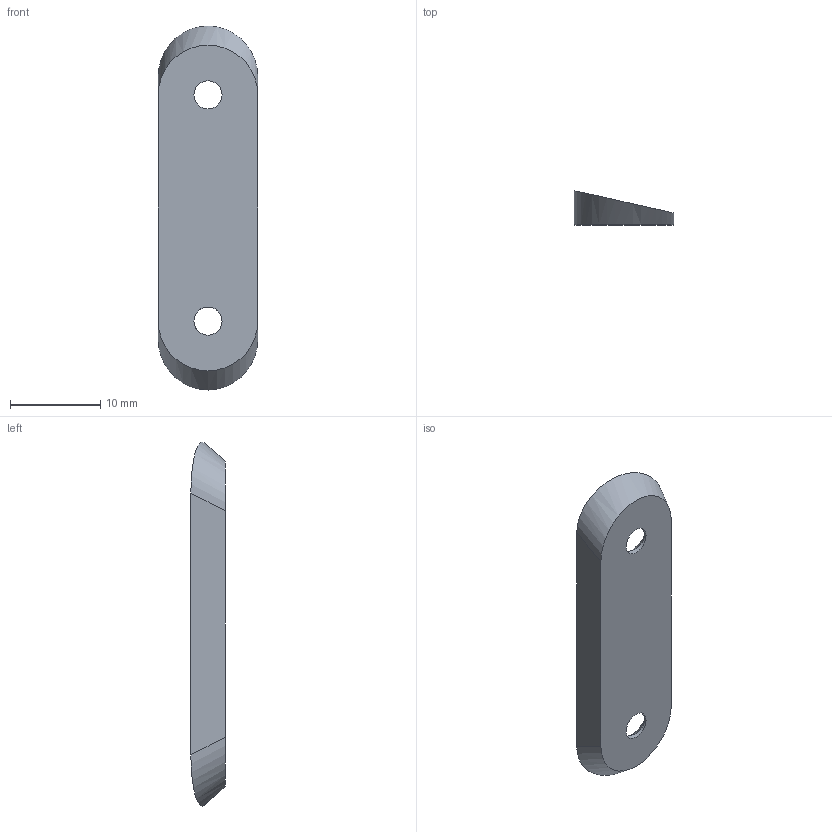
import cadquery as cq
import math

width = 11.0
thick_side = 3.78
thin_side = 1.3
hole_spacing = 25.0
hole_diameter = 3.1
countersink_start = 0.55
countersink_angle = 84.0
overall_height = 40.23

rise = thick_side - thin_side
mid_thickness = (thick_side + thin_side) / 2
slope_angle = math.degrees(math.atan2(rise, width))
back_width = math.hypot(width, rise)
front_height = hole_spacing + width


def slot_wire(length, slot_width):
    """Closed upright slot outline centred on the origin in the XZ plane."""
    radius = slot_width / 2
    centre = length / 2 - radius
    outline = (
        cq.Workplane("XZ")
        .moveTo(-radius, -centre)
        .lineTo(-radius, centre)
        .threePointArc((0, centre + radius), (radius, centre))
        .lineTo(radius, -centre)
        .threePointArc((0, -centre - radius), (-radius, -centre))
        .close()
    )
    return outline.val()


def wedge_body():
    """Straight-ruled body from the flat front face to the sloping back face."""
    front = slot_wire(front_height, width)
    back = slot_wire(overall_height, back_width)
    back = back.rotate(cq.Vector(0, 0, 0), cq.Vector(0, 0, 1), -slope_angle)
    back = back.translate(cq.Vector(0, mid_thickness, 0))
    return cq.Workplane(obj=cq.Solid.makeLoft([front, back], True))


def screw_hole(z):
    """Straight hole along Y with a countersink square to the sloping back face."""
    radius = hole_diameter / 2
    along_y = cq.Vector(0, 1, 0)
    back_normal = cq.Vector(rise, width, 0)
    cone_length = thick_side
    mouth_radius = radius + cone_length * math.tan(math.radians(countersink_angle / 2))
    shank = cq.Solid.makeCylinder(radius, thick_side, cq.Vector(0, 0, z), along_y)
    countersink = cq.Solid.makeCone(
        radius, mouth_radius, cone_length, cq.Vector(0, countersink_start, z), back_normal
    )
    return cq.Workplane(obj=shank.fuse(countersink))


result = wedge_body()
for hole_z in (-hole_spacing / 2, hole_spacing / 2):
    result = result.cut(screw_hole(hole_z))